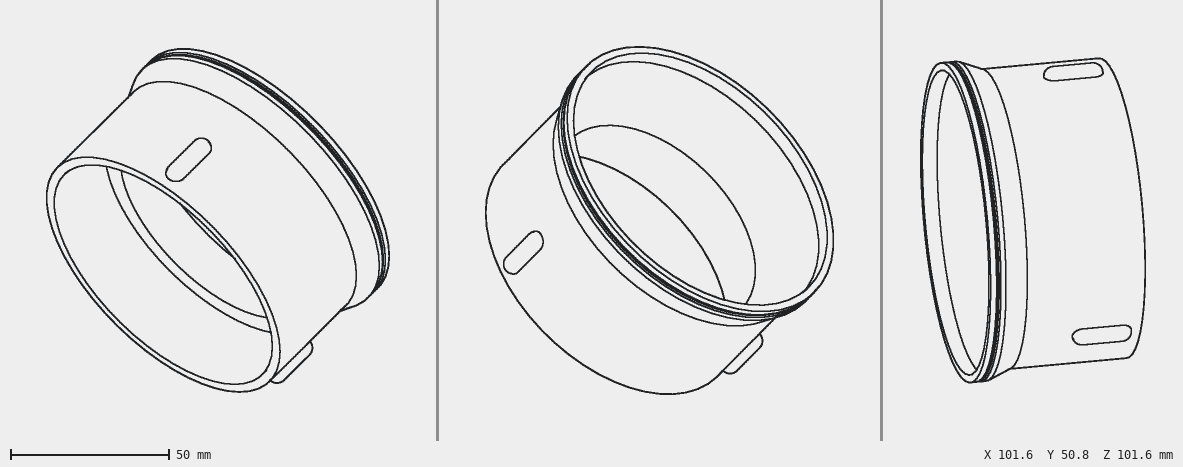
import cadquery as cq

length = 50.8
flange_radius = 50.8
wall = 3.1
body_radius = flange_radius - wall
socket_radius = body_radius - wall

flange_width = 5.0
taper_end = 12.6
groove_start = 1.9
groove_width = 1.4
groove_floor_width = 0.4
groove_depth = 0.4

shoulder_depth = length / 2
throat_radius = 38.1
back_bore_radius = 48.4
back_bore_depth = 4.8

ridge_count = 3
ridge_radius = wall
ridge_front_gap = 3.1
ridge_length = 19.1
ridge_root_depth = wall / 2


def make_ring():
    """Revolve the wall section (radius, Y) around the Y axis."""
    groove_back = length - groove_start
    groove_front = groove_back - groove_width
    groove_slope = (groove_width - groove_floor_width) / 2
    groove_floor = flange_radius - groove_depth
    section = [
        (socket_radius, 0),
        (body_radius, 0),
        (body_radius, length - taper_end),
        (flange_radius, length - flange_width),
        (flange_radius, groove_front),
        (groove_floor, groove_front + groove_slope),
        (groove_floor, groove_back - groove_slope),
        (flange_radius, groove_back),
        (flange_radius, length),
        (back_bore_radius, length),
        (back_bore_radius, length - back_bore_depth),
        (throat_radius, shoulder_depth),
        (socket_radius, shoulder_depth),
    ]
    return cq.Workplane("XY").polyline(section).close().revolve(360, (0, 0, 0), (0, 1, 0))


def make_ridge():
    """Half capsule along Y on the body surface at +Z, with a straight-sided root in the wall."""
    straight_length = ridge_length - 2 * ridge_radius
    slot = cq.Workplane("XY").slot2D(ridge_length, 2 * ridge_radius, 90)
    root = slot.extrude(-ridge_root_depth)
    bar = cq.Workplane("XZ", origin=(0, -straight_length / 2, 0)).circle(ridge_radius).extrude(-straight_length)
    above = cq.Workplane("XY").rect(ridge_length, ridge_length).extrude(ridge_length)
    ridge = root.union(bar.intersect(above))
    for end in (-straight_length / 2, straight_length / 2):
        dome = cq.Workplane("XY").sphere(ridge_radius, angle1=0).translate((0, end, 0))
        ridge = ridge.union(dome)
    return ridge.translate((0, ridge_front_gap + ridge_length / 2, body_radius))


result = make_ring()
ridge = make_ridge()
for index in range(ridge_count):
    angle = index * 360 / ridge_count
    result = result.union(ridge.rotate((0, 0, 0), (0, 1, 0), angle))